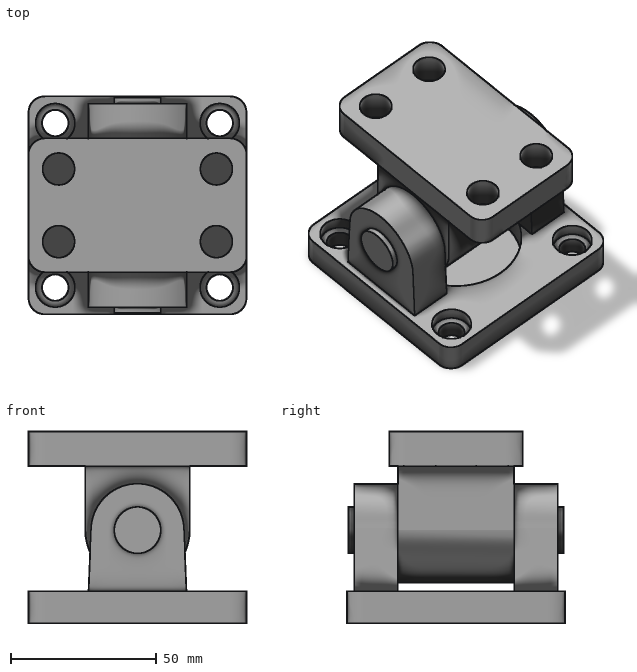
import cadquery as cq
import math

corner_radius = 5.6

base_side = 75.0
base_thickness = 11.0
base_hole_spacing = 56.55
base_hole_diameter = 9.0
counterbore_diameter = 13.5
counterbore_depth = 4.5
window_diameter = 45.0

axis_height = 32.0
knuckle_width = 40.0
knuckle_radius = 18.0
ear_thickness = 15.0
ear_radius = 16.0
ear_foot_width = 33.75
pin_diameter = 16.0
pin_length = 74.0

total_height = 66.0
top_length = base_side
top_width = 46.0
top_thickness = 12.0
top_hole_diameter = 11.0
top_hole_spacing_x = 54.2
top_hole_spacing_y = 25.0


def rounded_plate(length, width, thickness, bottom):
    """Flat plate centred on Z, with rounded vertical corners."""
    plate = cq.Workplane("XY").workplane(offset=bottom).rect(length, width).extrude(thickness)
    return plate.edges("|Z").fillet(corner_radius)


def hinge_cylinder(diameter, length):
    """Cylinder on the hinge axis, centred on Y = 0."""
    section = cq.Workplane("XZ", origin=(0, length / 2, axis_height)).circle(diameter / 2)
    return section.extrude(length)


def make_ear(inner_y):
    """Tapered ear whose sides run tangent into its round top."""
    foot_half = ear_foot_width / 2
    foot_drop = axis_height - base_thickness
    tangent_angle = math.acos(ear_radius / math.hypot(foot_half, foot_drop)) - math.atan2(foot_drop, foot_half)
    tangent_x = ear_radius * math.cos(tangent_angle)
    tangent_z = axis_height + ear_radius * math.sin(tangent_angle)
    outline = (
        cq.Workplane("XZ", origin=(0, inner_y + ear_thickness, 0))
        .moveTo(-foot_half, base_thickness)
        .lineTo(foot_half, base_thickness)
        .lineTo(tangent_x, tangent_z)
        .threePointArc((0, axis_height + ear_radius), (-tangent_x, tangent_z))
        .close()
    )
    return outline.extrude(ear_thickness)


def make_fork():
    """Base plate with two ears and the hinge pin fixed between them."""
    fork = rounded_plate(base_side, base_side, base_thickness, 0)
    fork = (
        fork.faces(">Z").workplane(origin=(0, 0, base_thickness))
        .rect(base_hole_spacing, base_hole_spacing, forConstruction=True).vertices()
        .cboreHole(base_hole_diameter, counterbore_diameter, counterbore_depth)
    )
    fork = fork.cut(cq.Workplane("XY").circle(window_diameter / 2).extrude(base_thickness))
    for inner_y in (knuckle_width / 2, -knuckle_width / 2 - ear_thickness):
        fork = fork.union(make_ear(inner_y))
    return fork.union(hinge_cylinder(pin_diameter, pin_length))


def make_top_bracket():
    """Drilled top plate with a round-bottomed knuckle bored for the pin."""
    plate_bottom = total_height - top_thickness
    bracket = rounded_plate(top_length, top_width, top_thickness, plate_bottom)
    bracket = (
        bracket.faces(">Z").workplane(origin=(0, 0, total_height))
        .rect(top_hole_spacing_x, top_hole_spacing_y, forConstruction=True).vertices()
        .hole(top_hole_diameter)
    )
    web = (
        cq.Workplane("XY").workplane(offset=axis_height)
        .rect(2 * knuckle_radius, knuckle_width).extrude(plate_bottom - axis_height)
    )
    bracket = bracket.union(web).union(hinge_cylinder(2 * knuckle_radius, knuckle_width))
    return bracket.cut(hinge_cylinder(pin_diameter, pin_length))


fork = make_fork()
top_bracket = make_top_bracket()

result = cq.Compound.makeCompound([fork.val(), top_bracket.val()])